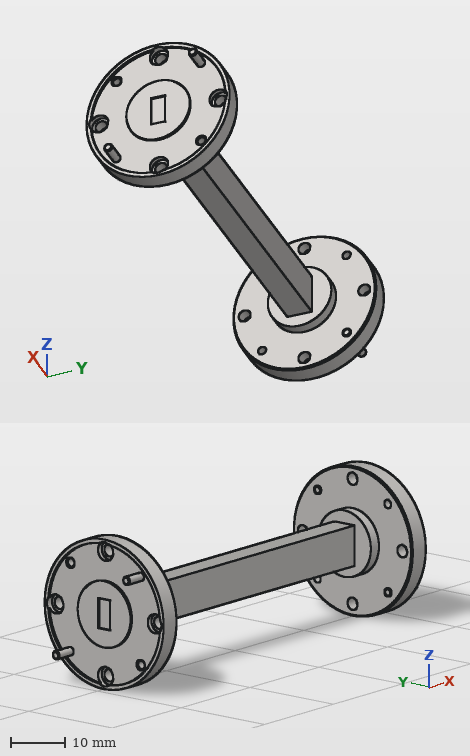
import cadquery as cq
import math

overall_length = 83.95
pin_projection = 3.9
flange_face_x = overall_length / 2 - pin_projection

flange_diameter = 28.55
flange_thickness = 4.0
back_chamfer = 0.25
hub_diameter = 12.7
hub_length = 2.35

relief_outer_diameter = 26.9
relief_depth = 0.4

tube_width = 4.9
tube_height = 7.7
window_width = 2.85
window_height = 5.7
window_depth = 0.3

pitch_radius = 11.9
bolt_hole_diameter = 2.35
counterbore_diameter = 3.6
counterbore_depth = 1.5
pin_diameter = 1.6
pin_chamfer = 0.2
open_hole_diameter = pin_diameter
open_hole_chamfer = 0.21
chamfer_angle = 45.0

BOLT_ANGLES = [0, 90, 180, 270]
PIN_ANGLES = [135, 315]
OPEN_HOLE_ANGLES = [45, 225]

flange_face = cq.Plane(origin=(-flange_face_x, 0, 0), xDir=(0, 1, 0), normal=(1, 0, 0))


def pitch_points(angles):
    """Points on the pitch circle, with angles measured from +Y towards +Z."""
    radians = [math.radians(angle) for angle in angles]
    return [(pitch_radius * math.cos(a), pitch_radius * math.sin(a)) for a in radians]


def cylinders(angles, diameter, length):
    """Cylinders on the pitch circle, running inwards from the mating face."""
    return cq.Workplane(flange_face).pushPoints(pitch_points(angles)).circle(diameter / 2).extrude(length)


def open_hole_cutters():
    """Through holes for the mating flange's pins, with the mouth chamfered at the relief floor."""
    mouth_diameter = open_hole_diameter + 2 * open_hole_chamfer
    mouths = (
        cq.Workplane(flange_face)
        .workplane(offset=relief_depth)
        .pushPoints(pitch_points(OPEN_HOLE_ANGLES))
        .circle(mouth_diameter / 2)
        .extrude(open_hole_chamfer, taper=chamfer_angle)
    )
    return mouths.union(cylinders(OPEN_HOLE_ANGLES, open_hole_diameter, flange_thickness))


def make_flange():
    """The -X flange with its hub, face relief, window and holes."""
    disc = cq.Workplane(flange_face).circle(flange_diameter / 2).extrude(flange_thickness)
    disc = disc.faces(">X").chamfer(back_chamfer)
    hub = cq.Workplane(flange_face).circle(hub_diameter / 2).extrude(flange_thickness + hub_length)
    relief = (
        cq.Workplane(flange_face)
        .circle(relief_outer_diameter / 2)
        .circle(hub_diameter / 2)
        .extrude(relief_depth)
    )
    window = cq.Workplane(flange_face).rect(window_width, window_height).extrude(window_depth)
    return (
        disc.union(hub)
        .cut(relief)
        .cut(window)
        .cut(cylinders(BOLT_ANGLES, bolt_hole_diameter, flange_thickness))
        .cut(cylinders(BOLT_ANGLES, counterbore_diameter, counterbore_depth))
        .cut(open_hole_cutters())
        .cut(cylinders(PIN_ANGLES, pin_diameter, flange_thickness))
    )


def to_other_end(body):
    """Copy of a -X end body, turned half a turn about Z to the +X end."""
    return body.rotate((0, 0, 0), (0, 0, 1), 180)


def make_waveguide():
    """Tube and both flanges as one solid."""
    tube_length = 2 * (flange_face_x - flange_thickness)
    tube = cq.Workplane("XY").box(tube_length, tube_width, tube_height)
    flange = make_flange()
    return tube.union(flange).union(to_other_end(flange))


def make_pin(angle):
    """Alignment pin of the -X flange, chamfered at both ends and level with the flange back."""
    y, z = pitch_points([angle])[0]
    pin = (
        cq.Workplane("YZ", origin=(-overall_length / 2, y, z))
        .circle(pin_diameter / 2)
        .extrude(pin_projection + flange_thickness)
    )
    return pin.faces("<X or >X").chamfer(pin_chamfer)


waveguide = make_waveguide()

pins = []
for pin_angle in PIN_ANGLES:
    pin = make_pin(pin_angle)
    pins.append(pin.val())
    pins.append(to_other_end(pin).val())

result = cq.Compound.makeCompound([waveguide.val(), *pins])